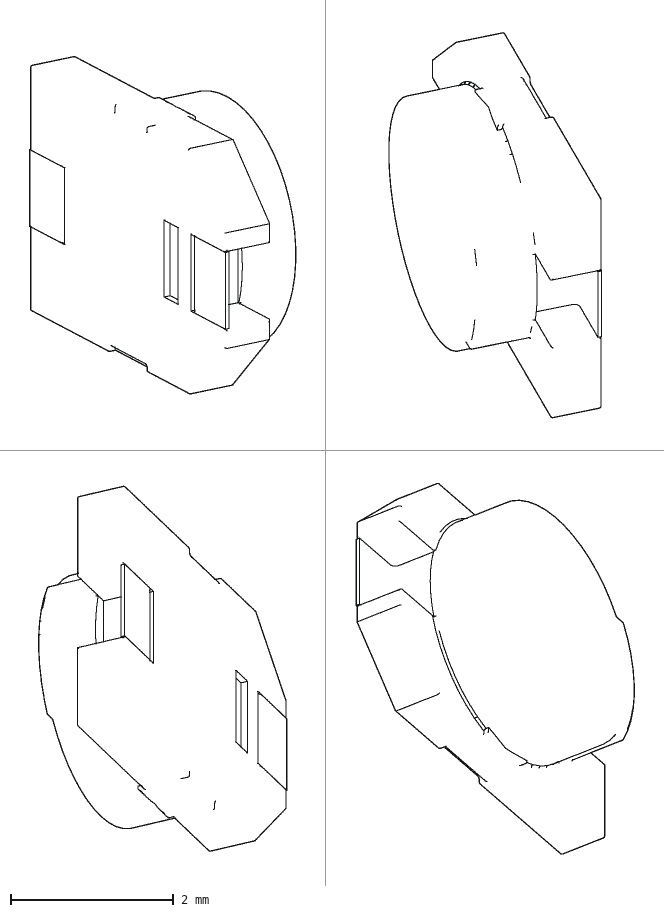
import cadquery as cq

LENGTH = 4.5
WIDTH = 3.2
HEIGHT = 1.45
BASE_THICKNESS = 0.655
CORNER_CUT = 0.845
EDGE_RADIUS = 0.03
HALF_LENGTH = LENGTH / 2
HALF_WIDTH = WIDTH / 2

BOSS_RADIUS = HALF_WIDTH
SECTOR_RADIUS = 1.73
SECTOR_WIDTH = 1.78
SECTOR_CORNER_RADIUS = 0.022

PAD_WIDTH = 0.835
PAD_HEIGHT = 0.068
PAD_DEPTH = 0.06

RECESS_WIDTH = 0.855
RECESS_DEPTH = 0.09

TERMINAL_WIDTH = 1.0
TERMINAL_LENGTH = 0.795
TERMINAL_THICKNESS = 0.05
BEND_RADIUS = 0.125
NOTCH_END_X = HALF_LENGTH - TERMINAL_LENGTH

POCKET_CENTRE_X = 1.0
POCKET_LENGTH = 0.32
POCKET_DEPTH = 0.09

SIDES = (-1, 1)


def block(x_size, y_range, z_size, x_centre=0.0, z_centre=0.0):
    """Box centred in X and Z, running from y_range[0] to y_range[1]."""
    y_start, y_end = y_range
    box = cq.Workplane("XY").box(x_size, y_end - y_start, z_size)
    return box.translate((x_centre, (y_start + y_end) / 2, z_centre))


def cylinder(radius, y_range):
    """Cylinder on the Y axis, running from y_range[0] to y_range[1]."""
    y_start, y_end = y_range
    return cq.Workplane("XZ", origin=(0, y_start, 0)).circle(radius).extrude(y_start - y_end)


def make_plate():
    """Base plate with two corners cut off at +X and a recess in each long edge, rounded all around."""
    cut_x = HALF_LENGTH - CORNER_CUT
    cut_z = HALF_WIDTH - CORNER_CUT
    outline = [
        (-HALF_LENGTH, -HALF_WIDTH),
        (cut_x, -HALF_WIDTH),
        (HALF_LENGTH, -cut_z),
        (HALF_LENGTH, cut_z),
        (cut_x, HALF_WIDTH),
        (-HALF_LENGTH, HALF_WIDTH),
    ]
    plate = cq.Workplane("XZ").polyline(outline).close().extrude(-BASE_THICKNESS)
    plate = plate.edges("<X and |Y").fillet(EDGE_RADIUS)
    plate = plate.faces(">Y").edges().fillet(EDGE_RADIUS)
    for side in SIDES:
        z_centre = side * HALF_WIDTH
        plate = plate.cut(block(RECESS_WIDTH, (0.0, RECESS_DEPTH), 2 * RECESS_DEPTH, z_centre=z_centre))
    lower_part = cq.selectors.BoxSelector(
        (-LENGTH, -RECESS_DEPTH, -WIDTH), (LENGTH, 2 * RECESS_DEPTH, WIDTH)
    )
    return plate.edges(lower_part).edges("not (|Z and >Y)").fillet(EDGE_RADIUS)


def make_notch(side):
    """Cutter for a terminal notch, widening at its mouth so that the notch corners come out rounded."""
    half = TERMINAL_WIDTH / 2
    flare = half + EDGE_RADIUS
    mouth_x = HALF_LENGTH - EDGE_RADIUS
    notch = (
        cq.Workplane("XZ")
        .moveTo(NOTCH_END_X, -half)
        .lineTo(mouth_x, -half)
        .radiusArc((HALF_LENGTH, -flare), EDGE_RADIUS)
        .lineTo(HALF_LENGTH, flare)
        .radiusArc((mouth_x, half), EDGE_RADIUS)
        .lineTo(NOTCH_END_X, half)
        .close()
        .extrude(-BASE_THICKNESS)
    )
    return notch if side > 0 else notch.mirror("YZ")


def make_boss():
    """Round boss with a wider sector on its -X side, rounded at the sector corners and the top."""
    y_range = (BASE_THICKNESS, HEIGHT)
    sector_block = block(SECTOR_RADIUS, y_range, SECTOR_WIDTH, x_centre=-SECTOR_RADIUS / 2)
    sector = cylinder(SECTOR_RADIUS, y_range).intersect(sector_block)
    boss = cylinder(BOSS_RADIUS, y_range).union(sector)
    corners = cq.selectors.BoxSelector(
        (-SECTOR_RADIUS, 0, -SECTOR_WIDTH), (-BOSS_RADIUS / 2, HEIGHT, SECTOR_WIDTH)
    )
    boss = boss.edges("|Y").edges(corners).fillet(SECTOR_CORNER_RADIUS)
    return boss.faces(">Y").edges().fillet(EDGE_RADIUS)


def make_foot(boss):
    """Concave rounding between the boss and the back of the base, open above the two notches."""
    floor = block(LENGTH, (BASE_THICKNESS - EDGE_RADIUS, BASE_THICKNESS), LENGTH)
    margin = EDGE_RADIUS / 2
    foot_edges = cq.selectors.BoxSelector(
        (-SECTOR_RADIUS, BASE_THICKNESS - margin, -SECTOR_RADIUS),
        (SECTOR_RADIUS, BASE_THICKNESS + margin, SECTOR_RADIUS),
    )
    foot = floor.union(boss).edges(foot_edges).fillet(EDGE_RADIUS)
    foot_range = (BASE_THICKNESS, BASE_THICKNESS + EDGE_RADIUS)
    foot = foot.intersect(block(LENGTH, foot_range, WIDTH - 2 * EDGE_RADIUS))
    return foot.cut(block(LENGTH, foot_range, TERMINAL_WIDTH))


def make_pad(side):
    """Raised strip at one long edge, rounded on its outer edges, that runs into the boss."""
    y_range = (BASE_THICKNESS / 2, BASE_THICKNESS + PAD_HEIGHT)
    depth = 2 * PAD_DEPTH
    pad = block(PAD_WIDTH, y_range, depth, z_centre=HALF_WIDTH - depth / 2)
    pad = pad.faces(">Z").edges("not <Y").fillet(EDGE_RADIUS)
    return pad if side > 0 else pad.mirror("XY")


def make_housing():
    """Base, boss, foot and pads in one piece, with the terminal notches and the pocket cut out."""
    housing = make_plate()
    for side in SIDES:
        housing = housing.cut(make_notch(side))
    boss = make_boss()
    housing = housing.union(boss).union(make_foot(boss))
    for side in SIDES:
        housing = housing.union(make_pad(side))
    return housing.cut(block(POCKET_LENGTH, (0.0, POCKET_DEPTH), TERMINAL_WIDTH, x_centre=POCKET_CENTRE_X))


def make_terminal(side):
    """Strip lying in the mounting face, bent to run along the inner end of its notch up to the boss."""
    leg_x = NOTCH_END_X + TERMINAL_THICKNESS
    bend_x = NOTCH_END_X + BEND_RADIUS
    terminal = (
        cq.Workplane("XY")
        .moveTo(HALF_LENGTH, 0)
        .lineTo(bend_x, 0)
        .radiusArc((NOTCH_END_X, BEND_RADIUS), BEND_RADIUS)
        .lineTo(NOTCH_END_X, BASE_THICKNESS)
        .lineTo(leg_x, BASE_THICKNESS)
        .lineTo(leg_x, BEND_RADIUS)
        .radiusArc((bend_x, TERMINAL_THICKNESS), TERMINAL_THICKNESS - BEND_RADIUS)
        .lineTo(HALF_LENGTH, TERMINAL_THICKNESS)
        .close()
        .extrude(TERMINAL_WIDTH / 2, both=True)
    )
    return terminal if side > 0 else terminal.mirror("YZ")


housing = make_housing()
terminals = [make_terminal(side) for side in SIDES]

result = cq.Compound.makeCompound([housing.val(), *[terminal.val() for terminal in terminals]])